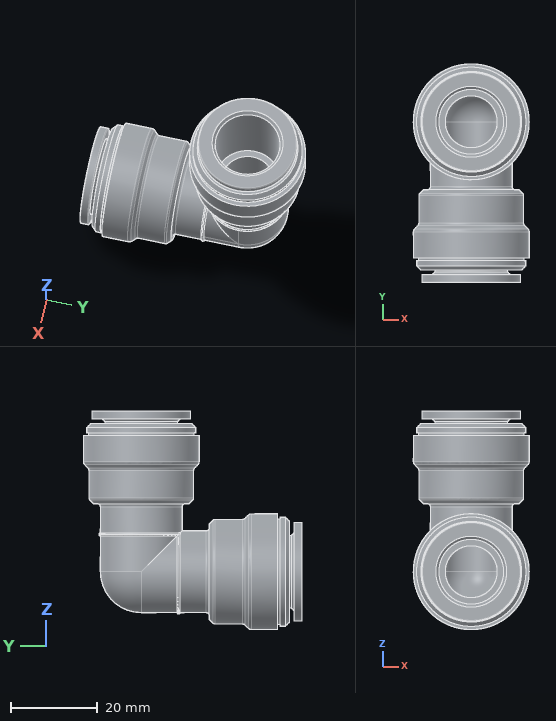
import cadquery as cq

port_reach = 37.2

pipe_radius = 19.0 / 2
bead_position = 8.6
bead_height = 0.3
bead_section_radius = 0.35
bore_radius = 12.0 / 2
socket_radius = 15.0 / 2
mouth_chamfer = 0.7

barrel_start = 15.7
barrel_radius = 24.25 / 2
barrel_chamfer = 1.05
barrel_edge_fillet = 0.6
pipe_fillet = 0.7
wide_radius = 26.8 / 2
flare_start = 23.75
flare_end = flare_start + wide_radius - barrel_radius
flare_inner_fillet = 0.75
flare_outer_fillet = 1.0
wide_end = 31.5

groove_radius = 24.5 / 2
cap_radius = 25.3 / 2
cap_start = 32.1
cap_end = 34.3
cap_chamfer = 1.0

collet_neck_radius = 16.8 / 2
collet_cone_start = 34.65
flange_radius = 22.8 / 2
flange_thickness = 1.9
flange_start = port_reach - flange_thickness
cone_end_radius = collet_neck_radius + flange_start - collet_cone_start
flange_fillet = 0.15

tube_stop = barrel_start


def fillet_circle(body, radius, height, fillet):
    """Round the circular edge of the given radius and height on the Z axis."""
    tolerance = 0.0005
    rim = body.edges("%CIRCLE").filter(
        lambda edge: abs(edge.radius() - radius) < tolerance
        and abs(edge.arcCenter().z - height) < tolerance
    )
    return rim.fillet(fillet)


def port_outside():
    """Turned outer shape of one port along +Z, starting at the origin."""
    profile = [
        (0, 0),
        (pipe_radius, 0),
        (pipe_radius, barrel_start),
        (barrel_radius - barrel_chamfer, barrel_start),
        (barrel_radius, barrel_start + barrel_chamfer),
        (barrel_radius, flare_start),
        (wide_radius, flare_end),
        (wide_radius, wide_end),
        (groove_radius, wide_end),
        (groove_radius, cap_start),
        (cap_radius, cap_start),
        (cap_radius, cap_end - cap_chamfer),
        (cap_radius - cap_chamfer, cap_end),
        (collet_neck_radius, cap_end),
        (collet_neck_radius, collet_cone_start),
        (cone_end_radius, flange_start),
        (flange_radius, flange_start),
        (flange_radius, port_reach),
        (0, port_reach),
    ]
    body = cq.Workplane("XZ").polyline(profile).close().revolve(360, (0, 0), (0, 1))
    rounded_edges = [
        (pipe_radius, barrel_start, pipe_fillet),
        (barrel_radius, barrel_start + barrel_chamfer, barrel_edge_fillet),
        (barrel_radius, flare_start, flare_inner_fillet),
        (wide_radius, flare_end, flare_outer_fillet),
        (flange_radius, flange_start, flange_fillet),
        (flange_radius, port_reach, flange_fillet),
    ]
    for radius, height, fillet in rounded_edges:
        body = fillet_circle(body, radius, height, fillet)

    bead_ring_radius = pipe_radius + bead_height - bead_section_radius
    bead = cq.Solid.makeTorus(bead_ring_radius, bead_section_radius, cq.Vector(0, 0, bead_position))
    return body.union(cq.Workplane(bead))


def port_inside():
    """Bore, tube socket and chamfered mouth of one port along +Z."""
    profile = [
        (0, 0),
        (bore_radius, 0),
        (bore_radius, tube_stop),
        (socket_radius, tube_stop),
        (socket_radius, port_reach - mouth_chamfer),
        (socket_radius + mouth_chamfer, port_reach),
        (0, port_reach),
    ]
    return cq.Workplane("XZ").polyline(profile).close().revolve(360, (0, 0), (0, 1))


def elbow(port, corner_radius):
    """Join a +Z port and its -Y twin with a spherical corner."""
    side_port = port.rotate((0, 0, 0), (1, 0, 0), 90)
    corner = cq.Workplane("XY").sphere(corner_radius)
    return port.union(side_port).union(corner)


outside = elbow(port_outside(), pipe_radius)
inside = elbow(port_inside(), bore_radius)
result = outside.cut(inside)